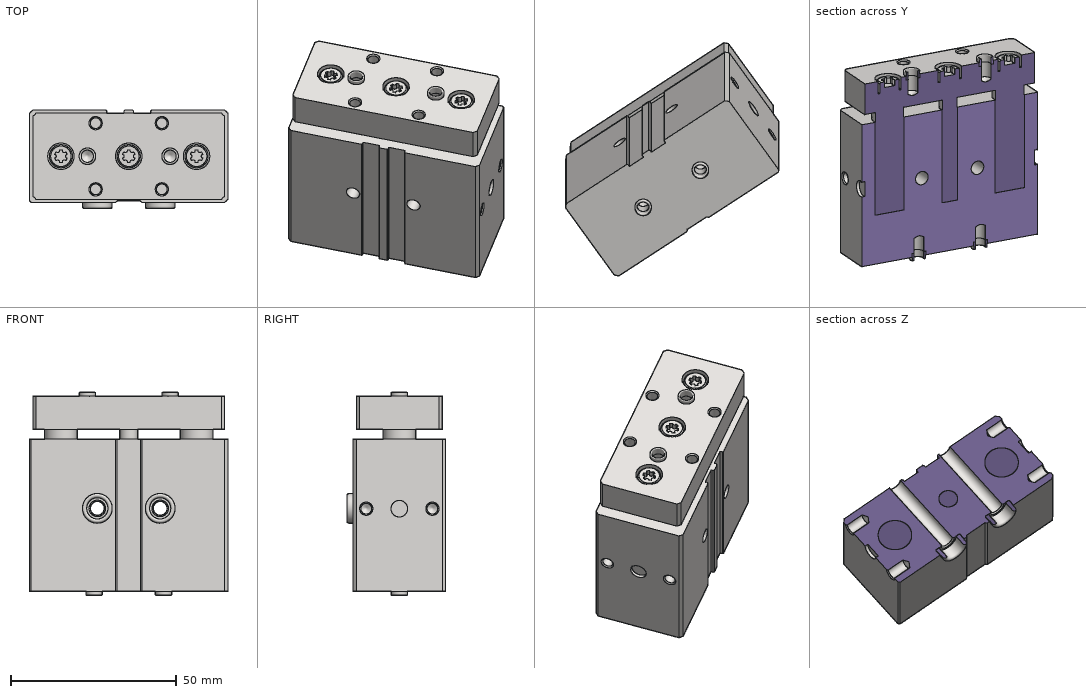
import cadquery as cq
import math

HOUSING_LENGTH = 60.0
HOUSING_WIDTH = 28.0
HOUSING_HEIGHT = 46.0
EDGE_CHAMFER = 1.0
KEYED_EDGE_CHAMFER = 0.5

FRONT_GROOVE_WIDTH = 8.0
FRONT_GROOVE_DEPTH = 0.5
BACK_CHANNEL_WIDTH = 13.2
BACK_CHANNEL_DEPTH = 1.0
BACK_KEY_WIDTH = 2.9
BACK_LIP_CHAMFER = 0.3

STROKE_GAP = 3.0
PLATE_INSET = 1.0
PLATE_THICKNESS = 10.0
PLATE_BOTTOM = HOUSING_HEIGHT + STROKE_GAP
PLATE_TOP = PLATE_BOTTOM + PLATE_THICKNESS

GUIDE_ROD_DIAMETER = 10.0
GUIDE_ROD_X = 20.5
PISTON_ROD_DIAMETER = 5.5
ROD_INSERTION = 30.0

HEAD_BORE_DIAMETER = 8.0
HEAD_BORE_DEPTH = 4.0
HEAD_DIAMETER = 7.0
HEAD_RECESS = 0.5
HEAD_CHAMFER = 0.4
STAR_TIP_RADIUS = 1.95
STAR_VALLEY_RADIUS = 1.4
STAR_TIP_HALF_ANGLE = 13.0
STAR_LOBES = 6
STAR_DEPTH = 1.8

THREAD_CORE_DIAMETER = 3.24
THREAD_MOUTH_DIAMETER = 4.0
BLIND_HOLE_DEPTH = 6.0
DRILL_TIP_ANGLE = 118.0
PLATE_HOLE_X = 10.0
PLATE_HOLE_Y = 10.0
SIDE_HOLE_Y = 10.0
SIDE_HOLE_Z = 25.0
SIDE_RECESS_DIAMETER = 5.0
SIDE_RECESS_DEPTH = 1.0

SMALL_SLEEVE_DIAMETER = 5.0
SMALL_SLEEVE_BORE = 3.7
SMALL_SLEEVE_LENGTH = 2.4
SMALL_SLEEVE_PROTRUSION = 1.2
TOP_SLEEVE_X = 12.5
BOTTOM_SLEEVE_X = 10.5

LARGE_SLEEVE_DIAMETER = 9.0
LARGE_SLEEVE_BORE = 6.4
LARGE_SLEEVE_LENGTH = 4.0
LARGE_SLEEVE_PROTRUSION = 1.85
FRONT_SLEEVE_X = 9.5
FRONT_SLEEVE_Z = 25.1
MOUNTING_HOLE_DIAMETER = 4.13
MOUNTING_HOLE_MOUTH = 5.0

RODS = [
    (-GUIDE_ROD_X, GUIDE_ROD_DIAMETER),
    (0.0, PISTON_ROD_DIAMETER),
    (GUIDE_ROD_X, GUIDE_ROD_DIAMETER),
]
UP = (0, 0, 1)
DOWN = (0, 0, -1)
FRONTWARD = (0, -1, 0)
BACKWARD = (0, 1, 0)


def cylinder(start, direction, diameter, length):
    solid = cq.Solid.makeCylinder(diameter / 2, length, cq.Vector(*start), cq.Vector(*direction))
    return cq.Workplane(solid)


def cone(start, direction, start_diameter, end_diameter, length):
    solid = cq.Solid.makeCone(
        start_diameter / 2, end_diameter / 2, length, cq.Vector(*start), cq.Vector(*direction)
    )
    return cq.Workplane(solid)


def hole_mouth(start, direction, mouth_diameter, diameter):
    """45 degree countersink that narrows from the mouth to the hole."""
    return cone(start, direction, mouth_diameter, diameter, (mouth_diameter - diameter) / 2)


def drilled_hole(start, direction, diameter, depth):
    """Blind hole with a conical drill tip."""
    radius = diameter / 2
    tip_length = radius / math.tan(math.radians(DRILL_TIP_ANGLE / 2))
    tip_start = cq.Vector(*start) + cq.Vector(*direction) * depth
    tip = cone(tip_start.toTuple(), direction, diameter, 0, tip_length)
    return cylinder(start, direction, diameter, depth).union(tip)


def housing_outline():
    """Plan outline, with the shallow front groove and the keyed back channel."""
    right = HOUSING_LENGTH / 2
    back = HOUSING_WIDTH / 2
    groove = FRONT_GROOVE_WIDTH / 2
    groove_floor = groove - FRONT_GROOVE_DEPTH
    channel = BACK_CHANNEL_WIDTH / 2
    key = BACK_KEY_WIDTH / 2
    lip = BACK_LIP_CHAMFER
    channel_floor = back - BACK_CHANNEL_DEPTH
    return [
        (-right + KEYED_EDGE_CHAMFER, -back),
        (-groove, -back),
        (-groove_floor, -back + FRONT_GROOVE_DEPTH),
        (groove_floor, -back + FRONT_GROOVE_DEPTH),
        (groove, -back),
        (right - EDGE_CHAMFER, -back),
        (right, -back + EDGE_CHAMFER),
        (right, back - EDGE_CHAMFER),
        (right - EDGE_CHAMFER, back),
        (channel + lip, back),
        (channel, back - lip),
        (channel, channel_floor),
        (key, channel_floor),
        (key, back - lip),
        (key - lip, back),
        (-key + lip, back),
        (-key, back - lip),
        (-key, channel_floor),
        (-channel, channel_floor),
        (-channel, back - lip),
        (-channel - lip, back),
        (-right + EDGE_CHAMFER, back),
        (-right, back - EDGE_CHAMFER),
        (-right, -back + KEYED_EDGE_CHAMFER),
    ]


def cut_rod_bores(body):
    for x, diameter in RODS:
        body = body.cut(cylinder((x, 0, HOUSING_HEIGHT), DOWN, diameter, ROD_INSERTION))
    return body


def cut_front_mounting_holes(body):
    """Through holes along Y, each with a seat for a large sleeve at the front."""
    front = -HOUSING_WIDTH / 2
    seat_depth = LARGE_SLEEVE_LENGTH - LARGE_SLEEVE_PROTRUSION
    for x in (-FRONT_SLEEVE_X, FRONT_SLEEVE_X):
        mouth = (x, front, FRONT_SLEEVE_Z)
        floor = (x, front + seat_depth, FRONT_SLEEVE_Z)
        body = body.cut(cylinder(mouth, BACKWARD, MOUNTING_HOLE_DIAMETER, HOUSING_WIDTH))
        body = body.cut(cylinder(mouth, BACKWARD, LARGE_SLEEVE_DIAMETER, seat_depth))
        body = body.cut(hole_mouth(floor, BACKWARD, MOUNTING_HOLE_MOUTH, MOUNTING_HOLE_DIAMETER))
    return body


def cut_side_holes(body):
    """Two threaded holes and a shallow round recess in each end face."""
    for side in (-1, 1):
        face_x = side * HOUSING_LENGTH / 2
        inward = (-side, 0, 0)
        for y in (-SIDE_HOLE_Y, SIDE_HOLE_Y):
            mouth = (face_x, y, SIDE_HOLE_Z)
            body = body.cut(drilled_hole(mouth, inward, THREAD_CORE_DIAMETER, BLIND_HOLE_DEPTH))
            body = body.cut(hole_mouth(mouth, inward, THREAD_MOUTH_DIAMETER, THREAD_CORE_DIAMETER))
        centre = (face_x, 0, SIDE_HOLE_Z)
        body = body.cut(cylinder(centre, inward, SIDE_RECESS_DIAMETER, SIDE_RECESS_DEPTH))
    return body


def cut_small_sleeve_holes(body, sleeve_x, face_z, inward):
    """Pair of blind holes, each with a seat for a small sleeve."""
    seat_depth = SMALL_SLEEVE_LENGTH - SMALL_SLEEVE_PROTRUSION
    for x in (-sleeve_x, sleeve_x):
        body = body.cut(drilled_hole((x, 0, face_z), inward, SMALL_SLEEVE_BORE, BLIND_HOLE_DEPTH))
        body = body.cut(cylinder((x, 0, face_z), inward, SMALL_SLEEVE_DIAMETER, seat_depth))
    return body


def make_housing():
    body = cq.Workplane("XY").polyline(housing_outline()).close().extrude(HOUSING_HEIGHT)
    body = cut_rod_bores(body)
    body = cut_front_mounting_holes(body)
    body = cut_side_holes(body)
    return cut_small_sleeve_holes(body, BOTTOM_SLEEVE_X, 0, UP)


def star_socket():
    """Six-lobed screw socket with one lobe toward +Y, cut down from the head top."""
    def polar(radius, degrees):
        angle = math.radians(degrees)
        return (radius * math.cos(angle), radius * math.sin(angle))

    pitch = 360 / STAR_LOBES
    first_lobe = 90.0
    outline = cq.Workplane("XY", origin=(0, 0, PLATE_TOP - HEAD_RECESS))
    outline = outline.moveTo(*polar(STAR_TIP_RADIUS, first_lobe - STAR_TIP_HALF_ANGLE))
    for lobe in range(STAR_LOBES):
        middle = first_lobe + lobe * pitch
        lobe_end = polar(STAR_TIP_RADIUS, middle + STAR_TIP_HALF_ANGLE)
        valley = polar(STAR_VALLEY_RADIUS, middle + pitch / 2)
        next_lobe = polar(STAR_TIP_RADIUS, middle + pitch - STAR_TIP_HALF_ANGLE)
        outline = outline.threePointArc(polar(STAR_TIP_RADIUS, middle), lobe_end)
        outline = outline.threePointArc(valley, next_lobe)
    return outline.close().extrude(-STAR_DEPTH)


def screw_head():
    height = HEAD_BORE_DEPTH - HEAD_RECESS
    head = cylinder((0, 0, PLATE_TOP - HEAD_BORE_DEPTH), UP, HEAD_DIAMETER, height)
    return head.faces(">Z").chamfer(HEAD_CHAMFER).cut(star_socket())


def make_moving_unit():
    """Yoke plate with the two guide rods, the piston rod and their screw heads."""
    unit = (
        cq.Workplane("XY", origin=(0, 0, PLATE_BOTTOM))
        .rect(HOUSING_LENGTH - 2 * PLATE_INSET, HOUSING_WIDTH - 2 * PLATE_INSET)
        .extrude(PLATE_THICKNESS)
        .edges("|Z")
        .chamfer(EDGE_CHAMFER)
    )
    for x, diameter in RODS:
        unit = unit.union(cylinder((x, 0, PLATE_BOTTOM), DOWN, diameter, STROKE_GAP + ROD_INSERTION))
        unit = unit.cut(cylinder((x, 0, PLATE_TOP), DOWN, HEAD_BORE_DIAMETER, HEAD_BORE_DEPTH))
        unit = unit.union(screw_head().translate((x, 0, 0)))
    for x in (-PLATE_HOLE_X, PLATE_HOLE_X):
        for y in (-PLATE_HOLE_Y, PLATE_HOLE_Y):
            mouth = (x, y, PLATE_TOP)
            unit = unit.cut(cylinder(mouth, DOWN, THREAD_CORE_DIAMETER, PLATE_THICKNESS))
            unit = unit.cut(hole_mouth(mouth, DOWN, THREAD_MOUTH_DIAMETER, THREAD_CORE_DIAMETER))
    return cut_small_sleeve_holes(unit, TOP_SLEEVE_X, PLATE_TOP, DOWN)


def make_sleeve(base, direction, diameter, bore, length):
    """Sleeve that stands on base, with a fully rounded rim at its far end."""
    outer = diameter / 2
    inner = bore / 2
    rim_radius = (outer - inner) / 2
    radial = cq.Vector(1, 0, 0)
    section_normal = radial.cross(cq.Vector(*direction))
    section = (
        cq.Workplane(cq.Plane(origin=base, xDir=radial.toTuple(), normal=section_normal.toTuple()))
        .moveTo(inner, 0)
        .lineTo(outer, 0)
        .lineTo(outer, length - rim_radius)
        .threePointArc((outer - rim_radius, length), (inner, length - rim_radius))
        .close()
    )
    return section.revolve(360, (0, 0), (0, 1))


def make_small_sleeve(x, face_z, outward):
    seat_z = face_z - outward[2] * (SMALL_SLEEVE_LENGTH - SMALL_SLEEVE_PROTRUSION)
    base = (x, 0, seat_z)
    return make_sleeve(base, outward, SMALL_SLEEVE_DIAMETER, SMALL_SLEEVE_BORE, SMALL_SLEEVE_LENGTH)


def make_large_sleeve(x):
    seat_y = -HOUSING_WIDTH / 2 - LARGE_SLEEVE_PROTRUSION + LARGE_SLEEVE_LENGTH
    base = (x, seat_y, FRONT_SLEEVE_Z)
    return make_sleeve(base, FRONTWARD, LARGE_SLEEVE_DIAMETER, LARGE_SLEEVE_BORE, LARGE_SLEEVE_LENGTH)


housing = make_housing()
moving_unit = make_moving_unit()
top_sleeves = [make_small_sleeve(x, PLATE_TOP, UP) for x in (-TOP_SLEEVE_X, TOP_SLEEVE_X)]
bottom_sleeves = [make_small_sleeve(x, 0, DOWN) for x in (-BOTTOM_SLEEVE_X, BOTTOM_SLEEVE_X)]
front_sleeves = [make_large_sleeve(x) for x in (-FRONT_SLEEVE_X, FRONT_SLEEVE_X)]

sleeves = top_sleeves + bottom_sleeves + front_sleeves
result = cq.Compound.makeCompound(
    [housing.val(), moving_unit.val(), *[sleeve.val() for sleeve in sleeves]]
)